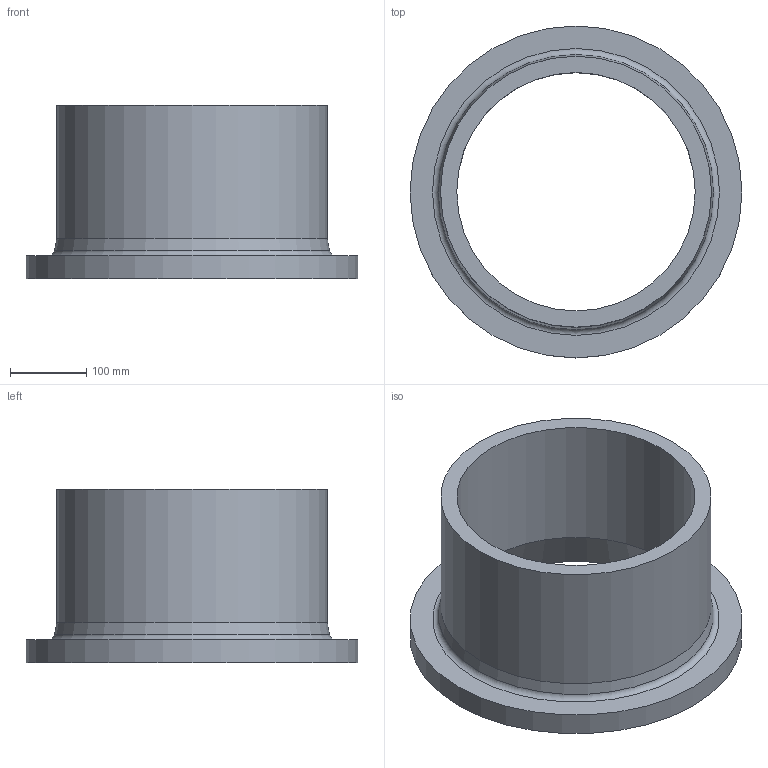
import cadquery as cq
import math

flange_diameter = 435.0
pipe_diameter = 355.0
wall_thickness = 21.3
total_height = 227.0
flange_thickness = 30.0

neck_top = 52.0
neck_slope = 0.17
neck_fillet = 8.0
bore_taper_top = 51.0
bore_foot_radius = 173.5

flange_radius = flange_diameter / 2
pipe_radius = pipe_diameter / 2
bore_radius = pipe_radius - wall_thickness

neck_angle = math.atan(neck_slope)
neck_foot_radius = pipe_radius + neck_slope * (neck_top - flange_thickness)
tangent_length = neck_fillet * math.tan((math.pi / 2 - neck_angle) / 2)
fillet_centre_radius = neck_foot_radius + tangent_length
fillet_centre_height = flange_thickness + neck_fillet


def fillet_point(angle):
    """Point on the fillet arc, as (radius, height), at an angle from the outward radial direction."""
    return (
        fillet_centre_radius + neck_fillet * math.cos(angle),
        fillet_centre_height + neck_fillet * math.sin(angle),
    )


flange_tangent_angle = -math.pi / 2
neck_tangent_angle = -math.pi + neck_angle
middle_angle = (flange_tangent_angle + neck_tangent_angle) / 2

section = (
    cq.Workplane("XZ")
    .moveTo(bore_foot_radius, 0)
    .lineTo(flange_radius, 0)
    .lineTo(flange_radius, flange_thickness)
    .lineTo(*fillet_point(flange_tangent_angle))
    .threePointArc(fillet_point(middle_angle), fillet_point(neck_tangent_angle))
    .lineTo(pipe_radius, neck_top)
    .lineTo(pipe_radius, total_height)
    .lineTo(bore_radius, total_height)
    .lineTo(bore_radius, bore_taper_top)
    .close()
)

full_turn = 360
result = section.revolve(full_turn, (0, 0, 0), (0, 1, 0))